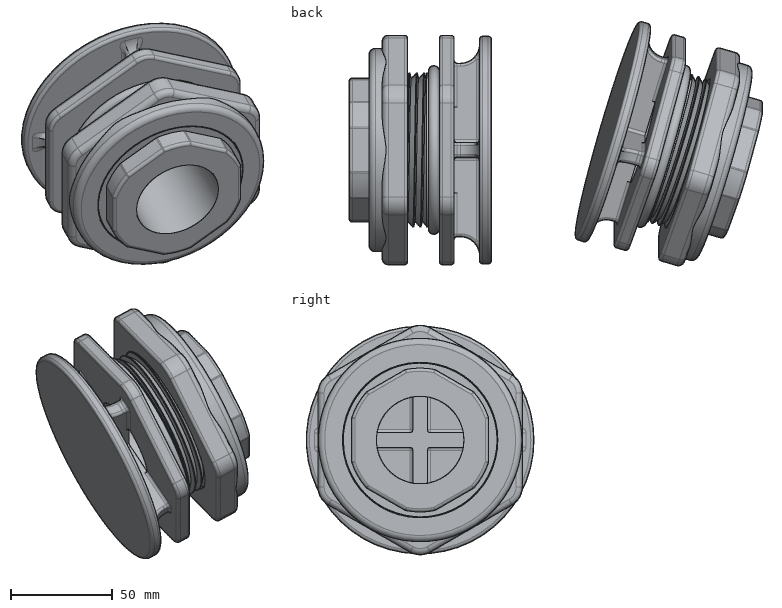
import cadquery as cq
import math

total_length = 69.8
hex_height = 112.6
hex_corner_radius = 10.0
edge_radius = 1.6

tolerance = 0.01

plate_diameter = 111.7
plate_thickness = 5.9

rib_thickness = 7.2
rib_reach = 42.6
rib_straight_length = 3.0
rib_fillet = 1.5

flange_start = 18.2
flange_thickness = 7.3
flange_end = flange_start + flange_thickness
bore_diameter = 42.9
barrel_diameter = 75.5
wrench_flats = 67.1
wrench_corner_diameter = 70.6
wrench_edge_radius = 2.0

thread_start = 31.8
thread_pitch = 3.6
thread_depth = 2.7
thread_slope_length = 2.6
thread_steep_length = 0.7
thread_first_crest = 27.7
thread_turns = 8
thread_clearance = 0.1

gasket_diameter = 82.8
gasket_thickness = 5.4

nut_start = 41.1
nut_hex_thickness = 12.5
nut_end = 60.0
nut_collar_diameter = 99.8
nut_bore_diameter = 76.2
nut_back_radius = 3.0


def disc(diameter, start, end):
    """Solid cylinder on the X axis between two axial places."""
    return cq.Workplane("YZ", origin=(start, 0, 0)).circle(diameter / 2).extrude(end - start)


def rounded_hexagon(start, end):
    """Hexagonal prism with round corners, one pair of corners on the Z axis."""
    tip_loss = hex_corner_radius * (1 / math.cos(math.pi / 6) - 1)
    corner_circle = hex_height + 2 * tip_loss
    prism = cq.Workplane("YZ", origin=(start, 0, 0)).transformed(rotate=(0, 0, 90))
    prism = prism.polygon(6, corner_circle).extrude(end - start)
    return prism.edges("|X").fillet(hex_corner_radius)


def rib_cross():
    """Two crossing ribs, each waisted by a quarter arc that starts tangent to the plate."""
    arc_end = flange_start - rib_straight_length
    arc_radius = arc_end - plate_thickness
    rib_tip = rib_reach + arc_radius
    arc_offset = arc_radius * math.sqrt(0.5)
    middle_x = arc_end - arc_offset
    middle_z = rib_tip - arc_offset
    outline = (
        cq.Workplane("XZ")
        .moveTo(plate_thickness, -rib_tip)
        .threePointArc((middle_x, -middle_z), (arc_end, -rib_reach))
        .lineTo(flange_start, -rib_reach)
        .lineTo(flange_start, rib_reach)
        .lineTo(arc_end, rib_reach)
        .threePointArc((middle_x, middle_z), (plate_thickness, rib_tip))
        .close()
    )
    rib = outline.extrude(rib_thickness / 2, both=True)
    cross = rib.union(rib.rotate((0, 0, 0), (1, 0, 0), 90))
    inner_corners = cq.selectors.BoxSelector(
        (0, -rib_thickness, -rib_thickness), (flange_start, rib_thickness, rib_thickness)
    )
    return cross.edges(inner_corners).edges("|X").fillet(rib_fillet)


def is_rib_edge(edge):
    """True for edges at both ends of the ribs and for the long borders of their outer faces."""
    centre = edge.Center()
    radius = math.hypot(centre.y, centre.z)
    if radius > rib_reach + plate_thickness:
        return False
    across_rib = abs(edge.tangentAt(0.5).x) < tolerance
    at_plate = abs(centre.x - plate_thickness) < tolerance
    at_flange = abs(centre.x - flange_start) < tolerance
    along_rib = plate_thickness < centre.x < flange_start and radius > rib_reach
    return at_plate or at_flange or (along_rib and not across_rib)


def ribbed_plate_and_flange():
    """Plate, ribs and hexagonal flange, with the ribs blended in at both ends."""
    plate = disc(plate_diameter, 0, plate_thickness).edges().fillet(edge_radius)
    flange = rounded_hexagon(flange_start, flange_end).edges().fillet(edge_radius)
    head = plate.union(rib_cross()).union(flange)
    rib_edges = [edge for edge in head.edges().vals() if is_rib_edge(edge)]
    return cq.Workplane(head.val().fillet(rib_fillet, rib_edges))


def thread_groove():
    """Helical buttress groove in the barrel, ending square at the collar."""
    barrel_radius = barrel_diameter / 2
    outer_radius = barrel_radius + thread_clearance
    root_radius = barrel_radius - thread_depth
    path = cq.Wire.makeHelix(thread_pitch, thread_turns * thread_pitch, barrel_radius, lefthand=True)
    profile = (
        cq.Workplane("XZ")
        .moveTo(outer_radius, 0)
        .lineTo(root_radius, thread_slope_length)
        .lineTo(outer_radius, thread_slope_length + thread_steep_length)
        .close()
    )
    groove = profile.sweep(cq.Workplane(path), isFrenet=True)
    groove = groove.rotate((0, 0, 0), (0, 1, 0), 90).translate((thread_first_crest, 0, 0))
    return groove.cut(disc(2 * barrel_diameter, 0, thread_start))


def wrench_end():
    """Hexagon with two flats square to Y, its corners turned down to a round."""
    hexagon = cq.Workplane("YZ", origin=(nut_end, 0, 0)).transformed(rotate=(0, 0, 90))
    hexagon = hexagon.polygon(6, wrench_flats / math.cos(math.pi / 6)).extrude(total_length - nut_end)
    turned = hexagon.intersect(disc(wrench_corner_diameter, nut_end, total_length))
    return turned.edges("|X").fillet(wrench_edge_radius).faces(">X").edges().fillet(edge_radius)


def bore():
    """Bore from the end up to the ribs, also clearing rib blends that would cross its mouth."""
    hole = disc(bore_diameter, flange_start - rib_fillet, total_length)
    return hole.cut(rib_cross())


def make_fitting():
    """Plate, ribs, hexagonal flange, threaded barrel and wrench end in one piece."""
    barrel = disc(barrel_diameter, flange_end, nut_end).cut(thread_groove())
    fitting = ribbed_plate_and_flange().union(barrel).union(wrench_end())
    return fitting.cut(bore())


def make_gasket():
    """Flat ring around the barrel, its outer rim a half circle in section."""
    gasket_end = flange_end + gasket_thickness
    inner_radius = barrel_diameter / 2
    rim_radius = gasket_diameter / 2
    round_start = rim_radius - gasket_thickness / 2
    section = (
        cq.Workplane("XY")
        .moveTo(flange_end, inner_radius)
        .lineTo(flange_end, round_start)
        .threePointArc((flange_end + gasket_thickness / 2, rim_radius), (gasket_end, round_start))
        .lineTo(gasket_end, inner_radius)
        .close()
    )
    return section.revolve(360, (0, 0, 0), (1, 0, 0))


def make_nut():
    """Hexagonal nut with a round collar behind it, bored to clear the barrel."""
    hexagon = rounded_hexagon(nut_start, nut_start + nut_hex_thickness)
    hexagon = hexagon.faces("<X").edges().fillet(edge_radius)
    hexagon = hexagon.faces(">X").edges().fillet(nut_back_radius)
    collar = disc(nut_collar_diameter, nut_start + nut_hex_thickness / 2, nut_end)
    collar = collar.faces(">X").edges().fillet(nut_back_radius)
    return hexagon.union(collar).cut(disc(nut_bore_diameter, nut_start, nut_end))


fitting = make_fitting()
gasket = make_gasket()
nut = make_nut()

result = cq.Compound.makeCompound([body.solids().val() for body in (fitting, gasket, nut)])